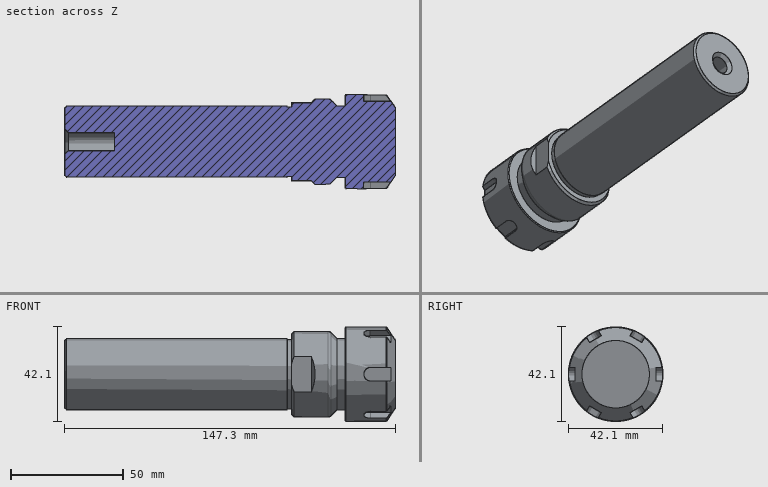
import cadquery as cq
import math

total_length = 147.3

shank_radius = 31.8 / 2
shank_chamfer = 0.9
relief_radius = 31.1 / 2
relief_start = 98.9
relief_taper = shank_radius - relief_radius

collar_radius = 38.2 / 2
collar_start = 101.0
collar_chamfer = 1.0
collar_round_start = 117.3
collar_round_radius = 1.9
flat_offset = 17.4
flat_end = 109.8

neck_radius = 32.0 / 2
shoulder_angle = math.radians(45)

nut_radius = 42.1 / 2
nut_start = 124.8
nut_back_chamfer = 0.5
nut_bevel_start = 143.0
nut_cone_start = 143.5
nut_cone_radius = 20.8
nut_face_radius = 15.0

slot_count = 6
slot_width = 6.0
slot_start = 133.2
slot_floor = 36.1 / 2

hole_radius = 8.0 / 2
hole_depth = 22.1
countersink_radius = 5.6


def turned_body():
    """Revolve the stepped outer profile about the X axis."""
    half_angle = shoulder_angle / 2
    arc_center_radius = collar_radius - collar_round_radius
    arc_middle = (
        collar_round_start + collar_round_radius * math.sin(half_angle),
        arc_center_radius + collar_round_radius * math.cos(half_angle),
    )
    arc_end = (
        collar_round_start + collar_round_radius * math.sin(shoulder_angle),
        arc_center_radius + collar_round_radius * math.cos(shoulder_angle),
    )
    neck_start = arc_end[0] + (arc_end[1] - neck_radius) / math.tan(shoulder_angle)

    profile = (
        cq.Workplane("XY")
        .moveTo(0, 0)
        .lineTo(0, shank_radius - shank_chamfer)
        .lineTo(shank_chamfer, shank_radius)
        .lineTo(relief_start, shank_radius)
        .lineTo(relief_start + relief_taper, relief_radius)
        .lineTo(collar_start, relief_radius)
        .lineTo(collar_start, collar_radius - collar_chamfer)
        .lineTo(collar_start + collar_chamfer, collar_radius)
        .lineTo(collar_round_start, collar_radius)
        .threePointArc(arc_middle, arc_end)
        .lineTo(neck_start, neck_radius)
        .lineTo(nut_start, neck_radius)
        .lineTo(nut_start, nut_radius - nut_back_chamfer)
        .lineTo(nut_start + nut_back_chamfer, nut_radius)
        .lineTo(nut_bevel_start, nut_radius)
        .lineTo(nut_cone_start, nut_cone_radius)
        .lineTo(total_length, nut_face_radius)
        .lineTo(total_length, 0)
        .close()
    )
    return profile.revolve(360, (0, 0, 0), (1, 0, 0))


def wrench_flat(side):
    """Cutter for the flat on one Y side, running out at 45 degrees toward the nut."""
    runout = collar_radius - flat_offset
    return (
        cq.Workplane("XY")
        .moveTo(collar_start, side * flat_offset)
        .lineTo(flat_end, side * flat_offset)
        .lineTo(flat_end + runout, side * collar_radius)
        .lineTo(collar_start, side * collar_radius)
        .close()
        .extrude(collar_radius, both=True)
    )


def spanner_slot(angle):
    """Cutter for a round-ended slot, open at the nut face, turned about X."""
    half_width = slot_width / 2
    arc_center = slot_start + half_width
    cutter = (
        cq.Workplane("XY", origin=(0, 0, slot_floor))
        .moveTo(total_length, -half_width)
        .lineTo(arc_center, -half_width)
        .threePointArc((slot_start, 0), (arc_center, half_width))
        .lineTo(total_length, half_width)
        .close()
        .extrude(nut_radius - slot_floor)
    )
    return cutter.rotate((0, 0, 0), (1, 0, 0), angle)


def shank_hole():
    """Cutter for the blind hole with a 45 degree countersink."""
    countersink_depth = countersink_radius - hole_radius
    profile = (
        cq.Workplane("XY")
        .moveTo(0, 0)
        .lineTo(0, countersink_radius)
        .lineTo(countersink_depth, hole_radius)
        .lineTo(hole_depth, hole_radius)
        .lineTo(hole_depth, 0)
        .close()
    )
    return profile.revolve(360, (0, 0, 0), (1, 0, 0))


result = turned_body().cut(shank_hole())

for side in (-1, 1):
    result = result.cut(wrench_flat(side))

for index in range(slot_count):
    result = result.cut(spanner_slot(90 + index * 360 / slot_count))